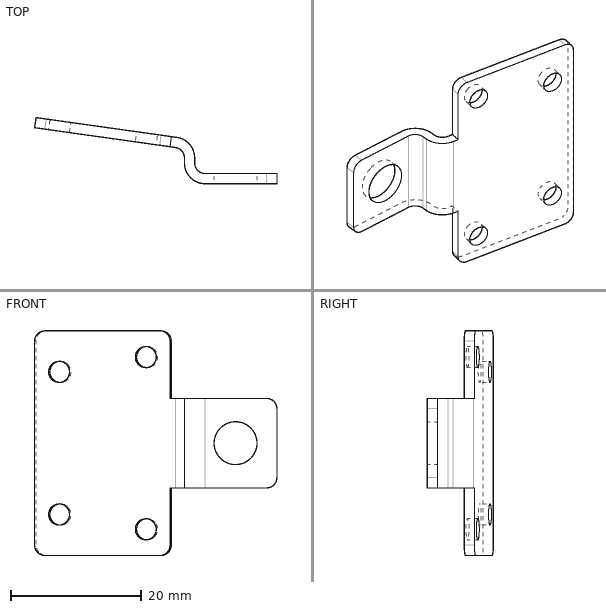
import cadquery as cq
import math

thickness = 1.6
inner_radius = 1.6
outer_radius = inner_radius + thickness
corner_radius = 1.6
tilt = 8
web_length = 0.8

overall_length = 37.25
tab_length = 11.03
tab_height = 13.8
tab_hole_diameter = 6.55
tab_hole_from_end = 6.37

plate_length = 21.0
plate_height = 34.55
plate_hole_diameter = 3.25
plate_holes = [(3.8, 10.95), (17.25, 13.23)]

angle = math.radians(tilt)
normal_x = math.sin(angle)
normal_y = math.cos(angle)
tab_bend = (0, outer_radius)
plate_bend = (-inner_radius - outer_radius, outer_radius + web_length)
bend_start_x = plate_bend[0] + inner_radius * normal_x
bend_start_y = plate_bend[1] + inner_radius * normal_y
free_edge_x = tab_length - overall_length
plate_reach = (bend_start_x - free_edge_x) / math.cos(angle)
neck_length = plate_reach - plate_length


def on_arc(centre, radius, degrees):
    """Point on a bend at the given angle from +X."""
    turn = math.radians(degrees)
    return (centre[0] + radius * math.cos(turn), centre[1] + radius * math.sin(turn))


def along_plate(start, distance):
    """Point moved along the tilted plate towards its free edge."""
    return (start[0] - distance * normal_y, start[1] + distance * normal_x)


def make_strip():
    """Tab, both bends and the neck, as one bent strip with rounded tab corners."""
    plate_angle = 90 - tilt
    middle_angle = plate_angle / 2
    inner_start = on_arc(plate_bend, inner_radius, plate_angle)
    outer_start = on_arc(plate_bend, outer_radius, plate_angle)
    strip = (
        cq.Workplane("XY")
        .moveTo(tab_length, 0)
        .lineTo(0, 0)
        .threePointArc(on_arc(tab_bend, outer_radius, 225), on_arc(tab_bend, outer_radius, 180))
        .lineTo(*on_arc(plate_bend, inner_radius, 0))
        .threePointArc(on_arc(plate_bend, inner_radius, middle_angle), inner_start)
        .lineTo(*along_plate(inner_start, neck_length))
        .lineTo(*along_plate(outer_start, neck_length))
        .lineTo(*outer_start)
        .threePointArc(on_arc(plate_bend, outer_radius, middle_angle), on_arc(plate_bend, outer_radius, 0))
        .lineTo(*on_arc(tab_bend, inner_radius, 180))
        .threePointArc(on_arc(tab_bend, inner_radius, 225), on_arc(tab_bend, inner_radius, 270))
        .lineTo(tab_length, thickness)
        .close()
        .extrude(tab_height / 2, both=True)
    )
    strip = strip.faces(">X").edges("|Y").fillet(corner_radius)
    hole = (
        cq.Workplane("XZ")
        .center(tab_length - tab_hole_from_end, 0)
        .circle(tab_hole_diameter / 2)
        .extrude(-thickness)
    )
    return strip.cut(hole)


def make_plate():
    """Rounded mounting plate with four holes, placed on its tilted plane."""
    free_edge = along_plate((bend_start_x, bend_start_y), plate_reach)
    front_face = cq.Plane(
        origin=(free_edge[0], free_edge[1], 0),
        xDir=(normal_y, -normal_x, 0),
        normal=(-normal_x, -normal_y, 0),
    )
    hole_centres = [(x, side * z) for x, z in plate_holes for side in (-1, 1)]
    outline = (
        cq.Workplane(front_face)
        .center(plate_length / 2, 0)
        .rect(plate_length, plate_height)
        .extrude(-thickness)
    )
    corner_edges = cq.selectors.ParallelDirSelector(front_face.zDir)
    plate = outline.edges(corner_edges).fillet(corner_radius)
    holes = (
        cq.Workplane(front_face)
        .pushPoints(hole_centres)
        .circle(plate_hole_diameter / 2)
        .extrude(-thickness)
    )
    return plate.cut(holes)


result = make_plate().union(make_strip())